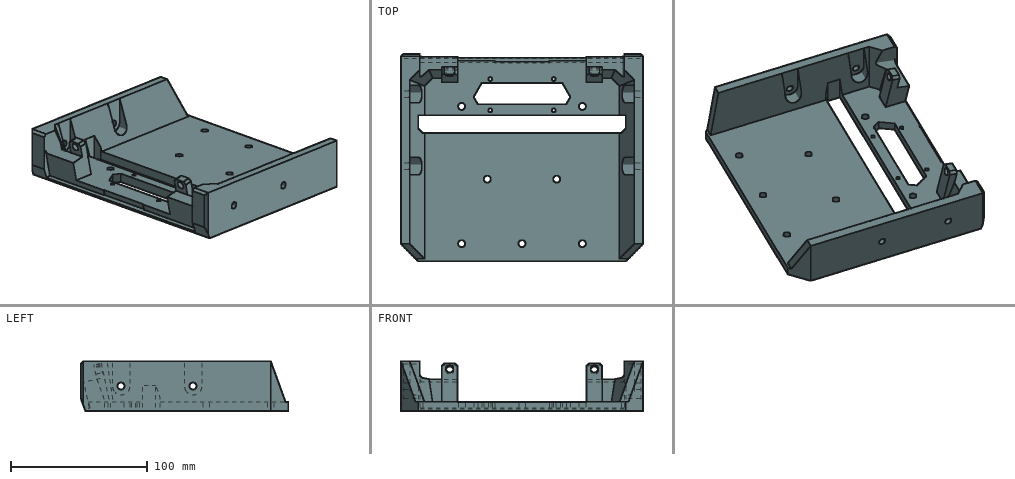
import cadquery as cq
import math

WIDTH = 177.8
DEPTH = 152.2
HEIGHT = 36.6
PLATE = 6.8
DRAFT = 20.0
SLOPE = math.tan(math.radians(DRAFT))
WALL_RISE = HEIGHT - PLATE
CLEAR = 35.5

FRONT_CORNER = 12.8
BACK_CHAMFER = 2.0
UNDERCUT_HEIGHT = 9.2

FLOOR_HALF_WIDTH = 71.5
FLOOR_BACK = 134.5
FLOOR_CORNER = 5.9

RIM = FLOOR_HALF_WIDTH + WALL_RISE * SLOPE
WALL_SCREW_Y = (69.9, 122.7)
WALL_SCREW_Z = HEIGHT / 2
SCREW_DIAMETER = 5.0
POCKET_DIAMETER = 12.6

SLOT_HALF_WIDTH = 76.0
SLOT_FRONT = 94.2
SLOT_BACK = 107.0
SLOT_CHAMFER = 3.2
PORT_FRONT = 115.2
PORT_MIDDLE = 120.5
PORT_BACK = 130.7
PORT_HALF_WIDTH = 35.4
PORT_FLARE = math.tan(math.radians(30))
PORT_SCREW_DIAMETER = 2.7
PORT_SCREW_X = 23.3
PORT_SCREW_Y = (110.8, 133.7)
FLOOR_SCREWS = [
    (-44.3, 13.0), (0, 13.0), (44.3, 13.0),
    (-25.5, 60.3), (25.5, 60.3),
    (-44.3, 113.6), (44.3, 113.6),
]

LEAN = 12.0
FOOT_Y = 131.2
POST_INNER = 47.3
POST_WIDTH = 11.5
POST_THICKNESS = 5.7
POST_HEIGHT = 29.0
POST_CHAMFER = 2.0
POST_ROOT = 1.8
HINGE_DIAMETER = 5.5
HINGE_DROP = 4.1
SHELF_HEIGHT = 18.3
SHELF_DEPTH = 15.5
SHELF_HALF_WIDTH = 74.9
SHELF_FILLET = 2.1
LEDGE_DROP = 1.2
RELIEF_WIDTH = 39.6
RELIEF_DEPTH = 0.5


def box(x_range, y_range, z_range):
    """Box spanning the given (low, high) ranges."""
    (x0, x1), (y0, y1), (z0, z1) = x_range, y_range, z_range
    return cq.Workplane("XY").box(x1 - x0, y1 - y0, z1 - z0, centered=False).translate((x0, y0, z0))


def leaning(shape):
    """Move a shape from the leaning frame into the tray."""
    return shape.rotate((0, 0, 0), (1, 0, 0), -LEAN).translate((0, FOOT_Y, PLATE))


def both_sides(shape):
    return shape.union(shape.mirror("YZ"))


def side_profile(points):
    """Extrude a (Y, Z) outline across more than the whole width."""
    return cq.Workplane("YZ").polyline(points).close().extrude(WIDTH / 2 + CLEAR, both=True)


def make_shell():
    front_floor = FRONT_CORNER - WALL_RISE * SLOPE
    profile = side_profile([
        (0, 0),
        (DEPTH - UNDERCUT_HEIGHT * SLOPE, 0),
        (DEPTH, UNDERCUT_HEIGHT),
        (DEPTH, HEIGHT - BACK_CHAMFER),
        (DEPTH - BACK_CHAMFER, HEIGHT),
        (FRONT_CORNER, HEIGHT),
        (front_floor, PLATE),
        (0, PLATE),
    ])
    plan = box((-WIDTH / 2, WIDTH / 2), (0, DEPTH), (0, HEIGHT))
    plan = plan.edges("|Z and <Y").chamfer(FRONT_CORNER).edges("|Z and >Y").chamfer(BACK_CHAMFER)
    return profile.intersect(plan)


def interior_outline(spread):
    """Plan of the interior where its sloped faces have moved outwards by spread."""
    side = FLOOR_HALF_WIDTH + spread
    back = FLOOR_BACK + spread
    corner = FLOOR_CORNER + spread * (2 - math.sqrt(2))
    return [
        (-side, -CLEAR),
        (side, -CLEAR),
        (side, back - corner),
        (side - corner, back),
        (corner - side, back),
        (-side, back - corner),
    ]


def make_interior():
    floor = cq.Workplane("XY", origin=(0, 0, PLATE)).polyline(interior_outline(0)).close()
    rim = floor.workplane(offset=WALL_RISE).polyline(interior_outline(WALL_RISE * SLOPE)).close()
    return rim.loft(ruled=True, combine=True)


def make_rear_cuts():
    width = (-SHELF_HALF_WIDTH, SHELF_HALF_WIDTH)
    above_shelf = box(width, (-CLEAR, CLEAR), (SHELF_HEIGHT, SHELF_HEIGHT + CLEAR))
    above_shelf = above_shelf.edges("|Y and <Z").fillet(SHELF_FILLET)
    behind_shelf = box(width, (SHELF_DEPTH, CLEAR), (-LEDGE_DROP, SHELF_HEIGHT + CLEAR))
    relief = box(
        (-RELIEF_WIDTH / 2, RELIEF_WIDTH / 2), (SHELF_DEPTH - RELIEF_DEPTH, CLEAR), (-LEDGE_DROP, SHELF_HEIGHT)
    )
    gap = box((-POST_INNER, POST_INNER), (FOOT_Y, DEPTH + CLEAR), (PLATE, HEIGHT + CLEAR))
    return leaning(above_shelf.union(behind_shelf).union(relief)).union(gap)


def make_posts():
    x_range = (POST_INNER, POST_INNER + POST_WIDTH)
    post = box(x_range, (0, POST_THICKNESS), (-POST_ROOT, POST_HEIGHT))
    post = post.edges("|Y and >Z").chamfer(POST_CHAMFER)
    base = box(x_range, (0, SHELF_DEPTH), (-POST_ROOT, SHELF_HEIGHT))
    hinge_axis = (POST_INNER + POST_WIDTH / 2, 0, POST_HEIGHT - HINGE_DROP)
    hole = cq.Workplane("XZ", origin=hinge_axis).circle(HINGE_DIAMETER / 2).extrude(CLEAR, both=True)
    return both_sides(leaning(post.union(base).cut(hole)))


def make_wall_screws():
    cutters = cq.Workplane("XY")
    for y in WALL_SCREW_Y:
        axis = cq.Workplane("YZ", origin=(0, y, WALL_SCREW_Z))
        hole = axis.circle(SCREW_DIAMETER / 2).extrude(WIDTH / 2 + CLEAR, both=True)
        pocket = axis.circle(POCKET_DIAMETER / 2).extrude(RIM, both=True)
        opening = box(
            (-RIM, RIM), (y - POCKET_DIAMETER / 2, y + POCKET_DIAMETER / 2), (WALL_SCREW_Z, HEIGHT + CLEAR)
        )
        cutters = cutters.add(hole).add(pocket).add(opening)
    return cutters.combine()


def make_floor_openings():
    slot = box((-SLOT_HALF_WIDTH, SLOT_HALF_WIDTH), (SLOT_FRONT, SLOT_BACK), (-CLEAR, HEIGHT))
    slot = slot.edges("|Z and <Y").chamfer(SLOT_CHAMFER)
    back_half = PORT_HALF_WIDTH - (PORT_BACK - PORT_MIDDLE) * PORT_FLARE
    front_half = PORT_HALF_WIDTH - (PORT_MIDDLE - PORT_FRONT) * PORT_FLARE
    port_outline = [
        (-front_half, PORT_FRONT),
        (front_half, PORT_FRONT),
        (PORT_HALF_WIDTH, PORT_MIDDLE),
        (back_half, PORT_BACK),
        (-back_half, PORT_BACK),
        (-PORT_HALF_WIDTH, PORT_MIDDLE),
    ]
    port_screws = [(x, y) for x in (-PORT_SCREW_X, PORT_SCREW_X) for y in PORT_SCREW_Y]
    floor = cq.Workplane("XY")
    port = floor.polyline(port_outline).close().extrude(PLATE)
    small_holes = floor.pushPoints(port_screws).circle(PORT_SCREW_DIAMETER / 2).extrude(PLATE)
    large_holes = floor.pushPoints(FLOOR_SCREWS).circle(SCREW_DIAMETER / 2).extrude(PLATE)
    return slot.union(port).union(small_holes).union(large_holes)


tray = make_shell().cut(make_interior()).cut(make_wall_screws()).cut(make_floor_openings())
result = tray.cut(make_rear_cuts()).union(make_posts())